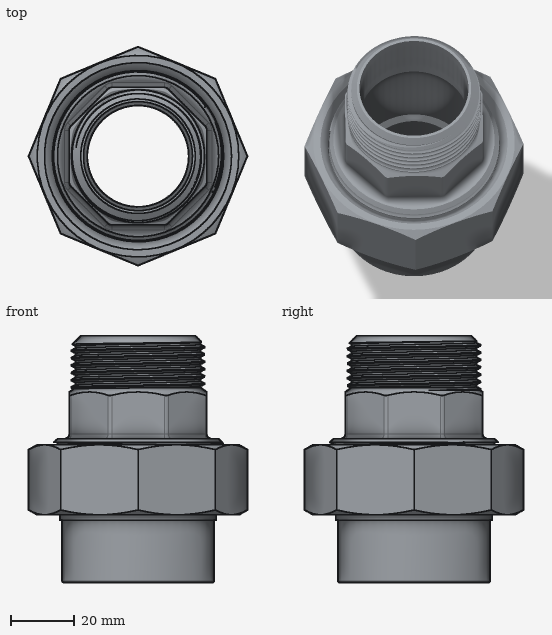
import cadquery as cq
import math

total_height = 77.8
collar_bottom_z = 19.7
nut_bottom_z = 21.3
nut_top_z = 43.5
flange_top_z = 45.35
wrench_top_z = 61.4

nut_ledge = 3.9
joint_flange_thickness = 3.9
joint_flange_diameter = 51.65
ledge_z = nut_bottom_z + nut_ledge
seat_z = ledge_z + joint_flange_thickness

octagon_sides = 8
nut_corner_radius = 69.0 / 2
nut_face_radius = 31.7
nut_chamfer_angle = 30.0
nut_bore_diameter = 54.0
nut_mouth_radius = 29.5

tail_diameter = 48.0
collar_diameter = 49.4
tail_bore_diameter = 31.9
tail_edge_radius = 0.66

wrench_across_flats = 43.3
wrench_corner_fillet = 1.9
wrench_base_fillet = 1.55
wrench_chamfer_angle = 35.0
mouth_diameter = 36.1
end_bore_diameter = 34.4
lower_bore_diameter = 36.8
lower_bore_top_z = 58.4

thread_pitch = 16.2 / 7
thread_flank_angle = 27.5
thread_crest_width = 0.3
thread_embed = 0.2
pipe_thread_major = 41.9
pipe_thread_minor = 39.4
pipe_thread_start_z = 58.0
union_thread_major = 53.75
union_thread_minor = 50.8
union_thread_turns = 5
union_thread_start_z = 43.7 - union_thread_turns * thread_pitch
union_thread_end_z = 43.95
union_rim_bottom_z = 44.2


def cylinder(diameter, bottom_z, top_z):
    """Solid cylinder around the Z axis."""
    base = cq.Workplane("XY").workplane(offset=bottom_z)
    return base.circle(diameter / 2).extrude(top_z - bottom_z)


def revolved(points):
    """Solid of revolution about Z from (radius, z) points."""
    return cq.Workplane("XZ").polyline(points).close().revolve(360, (0, 0, 0), (0, 1, 0))


def octagon(corner_radius, bottom_z, top_z, first_corner_angle):
    """Octagonal prism whose first corner lies at the given angle from +X."""
    step = 360 / octagon_sides
    corners = []
    for i in range(octagon_sides):
        angle = math.radians(first_corner_angle + i * step)
        corners.append((corner_radius * math.cos(angle), corner_radius * math.sin(angle)))
    base = cq.Workplane("XY").workplane(offset=bottom_z).polyline(corners).close()
    return base.extrude(top_z - bottom_z)


def thread_ridge(major_diameter, minor_diameter, start_z, end_z):
    """Right-handed helical ridge whose crest crosses +X at start_z."""
    root_radius = minor_diameter / 2 - thread_embed
    crest_radius = major_diameter / 2
    half_crest = thread_crest_width / 2
    half_root = half_crest + (crest_radius - root_radius) * math.tan(math.radians(thread_flank_angle))
    helix = cq.Wire.makeHelix(thread_pitch, end_z - start_z, root_radius)
    profile = cq.Workplane("XZ").polyline([
        (root_radius, -half_root),
        (crest_radius, -half_crest),
        (crest_radius, half_crest),
        (root_radius, half_root),
    ]).close()
    ridge = profile.sweep(cq.Workplane(helix), isFrenet=True)
    return ridge.translate((0, 0, start_z))


def make_nut():
    """Octagonal nut, open at the top, with a ledge that holds the tailpiece flange."""
    chamfer_drop = (nut_corner_radius - nut_face_radius) * math.tan(math.radians(nut_chamfer_angle))
    body = octagon(nut_corner_radius, nut_bottom_z, nut_top_z, 0)
    corner_envelope = revolved([
        (0, nut_bottom_z),
        (nut_face_radius, nut_bottom_z),
        (nut_corner_radius, nut_bottom_z + chamfer_drop),
        (nut_corner_radius, nut_top_z - chamfer_drop),
        (nut_face_radius, nut_top_z),
        (0, nut_top_z),
    ])
    bore_radius = nut_bore_diameter / 2
    cavity = revolved([
        (0, nut_bottom_z),
        (collar_diameter / 2, nut_bottom_z),
        (collar_diameter / 2, ledge_z),
        (bore_radius, ledge_z),
        (bore_radius, nut_top_z - (nut_mouth_radius - bore_radius)),
        (nut_mouth_radius, nut_top_z),
        (0, nut_top_z),
    ])
    return body.intersect(corner_envelope).cut(cavity)


def make_tailpiece():
    """Plain pipe end with a collar in the nut and a flange above the nut ledge."""
    tail = cylinder(tail_diameter, 0, collar_bottom_z).faces("<Z").edges().fillet(tail_edge_radius)
    collar = cylinder(collar_diameter, collar_bottom_z, ledge_z)
    joint_flange = cylinder(joint_flange_diameter, ledge_z, seat_z)
    bore = cylinder(tail_bore_diameter, 0, seat_z)
    return tail.union(collar).union(joint_flange).cut(bore)


def make_wrench_section():
    """Wrench octagon standing on the round core of the union flange."""
    corner_radius = wrench_across_flats / 2 / math.cos(math.pi / octagon_sides)
    prism = octagon(corner_radius, flange_top_z, wrench_top_z, 180 / octagon_sides)
    prism = prism.edges("|Z").fillet(wrench_corner_fillet)
    core = cylinder(union_thread_minor, seat_z, flange_top_z)
    body = core.union(prism)
    foot_edges = body.faces("+Z").faces("<Z").wires().edges().filter(
        lambda edge: edge.geomType() == "LINE")
    body = foot_edges.fillet(wrench_base_fillet)
    top_radius = pipe_thread_minor / 2
    cone_reach = (wrench_top_z - seat_z) / math.tan(math.radians(wrench_chamfer_angle))
    cone = revolved([
        (0, seat_z),
        (top_radius + cone_reach, seat_z),
        (top_radius, wrench_top_z),
        (0, wrench_top_z),
    ])
    return body.intersect(cone)


def lead_in_cone(mouth_radius, bottom_z, top_z):
    """Cone at 45 degrees that narrows upwards to the mouth radius."""
    return revolved([
        (0, bottom_z),
        (mouth_radius + top_z - bottom_z, bottom_z),
        (mouth_radius, top_z),
        (0, top_z),
    ])


def make_threaded_end():
    """Union flange, wrench octagon and pipe thread in one bored body."""
    pipe_cone = lead_in_cone(mouth_diameter / 2, flange_top_z, total_height)

    spigot = cylinder(pipe_thread_minor, flange_top_z, total_height).intersect(pipe_cone)
    upper_bore = cylinder(end_bore_diameter, lower_bore_top_z, total_height)
    lower_bore = cylinder(lower_bore_diameter, seat_z, lower_bore_top_z)
    rim = lead_in_cone(union_thread_minor / 2, union_rim_bottom_z, flange_top_z)
    body = make_wrench_section().union(rim).union(spigot).cut(upper_bore).cut(lower_bore)

    pipe_ridge = thread_ridge(pipe_thread_major, pipe_thread_minor, pipe_thread_start_z,
                              total_height + thread_pitch)
    union_ridge = thread_ridge(union_thread_major, union_thread_minor, union_thread_start_z,
                               union_thread_end_z)
    body = body.union(pipe_ridge.intersect(pipe_cone))
    return body.union(union_ridge)


nut = make_nut()
tailpiece = make_tailpiece()
threaded_end = make_threaded_end()

result = cq.Compound.makeCompound([nut.val(), tailpiece.val(), threaded_end.val()])